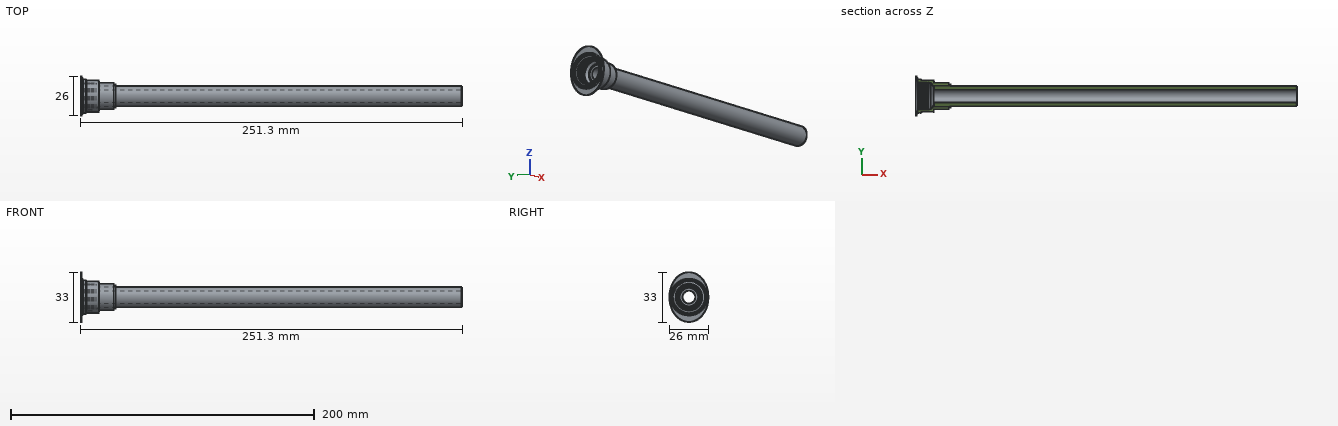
import cadquery as cq

total_length = 251.3
flange_width = 26.0
flange_height = 33.0
flange_thickness = 0.8

rim_diameter = 22.4
collar_diameter = 21.0
neck_diameter = 17.5
nose_diameter = 15.5
rim_end = 3.3
collar_start = 4.0
collar_end = 11.8
neck_start = 12.3
neck_end = 21.9
sleeve_end = 23.0
root_size = 1.0

mouth_diameter = 22.4
recess_diameter = 20.4
socket_diameter = 17.0
throat_diameter = 12.0
mouth_depth = 0.3
recess_depth = 1.3
socket_depth = 10.0
tube_start = 12.0

groove_diameter = 17.8
groove_width = 0.8
groove_pitch = 1.5
first_groove = 2.0
groove_count = 5

tube_diameter = 13.5
tube_bore = 8.3
tip_chamfer = 0.8


def revolve_about_x(points):
    """Revolve an (x, radius) outline about the X axis."""
    return cq.Workplane("XY").polyline(points).close().revolve(360, (0, 0, 0), (1, 0, 0))


def make_groove(groove_x):
    """Disc that cuts one ring groove into the socket wall."""
    return cq.Workplane("YZ", origin=(groove_x, 0, 0)).circle(groove_diameter / 2).extrude(groove_width)


def make_sleeve():
    """Stepped sleeve with an oval flange, a grooved socket and a seat for the tube."""
    flange = cq.Workplane("YZ").ellipse(flange_width / 2, flange_height / 2).extrude(flange_thickness)
    barrel = revolve_about_x([
        (0, 0),
        (0, rim_diameter / 2 + root_size),
        (flange_thickness, rim_diameter / 2 + root_size),
        (flange_thickness + root_size, rim_diameter / 2),
        (rim_end, rim_diameter / 2),
        (collar_start, collar_diameter / 2),
        (collar_end, collar_diameter / 2),
        (neck_start, neck_diameter / 2),
        (neck_end, neck_diameter / 2),
        (neck_end, nose_diameter / 2),
        (sleeve_end, nose_diameter / 2),
        (sleeve_end, 0),
    ])
    socket = revolve_about_x([
        (0, 0),
        (0, mouth_diameter / 2),
        (mouth_depth, mouth_diameter / 2),
        (mouth_depth, recess_diameter / 2),
        (recess_depth, recess_diameter / 2),
        (recess_depth, socket_diameter / 2),
        (socket_depth, socket_diameter / 2),
        (tube_start, throat_diameter / 2),
        (tube_start, tube_diameter / 2),
        (sleeve_end, tube_diameter / 2),
        (sleeve_end, 0),
    ])
    sleeve = flange.union(barrel).cut(socket)
    for index in range(groove_count):
        groove_x = first_groove + index * groove_pitch
        sleeve = sleeve.cut(make_groove(groove_x))
    return sleeve


def make_tube():
    """Long straight tube with a chamfered free end."""
    tube = (
        cq.Workplane("YZ", origin=(tube_start, 0, 0))
        .circle(tube_diameter / 2)
        .extrude(total_length - tube_start)
        .faces(">X")
        .chamfer(tip_chamfer)
    )
    bore = cq.Workplane("YZ").circle(tube_bore / 2).extrude(total_length)
    return tube.cut(bore)


sleeve = make_sleeve()
tube = make_tube()

result = cq.Compound.makeCompound([sleeve.val(), tube.val()])